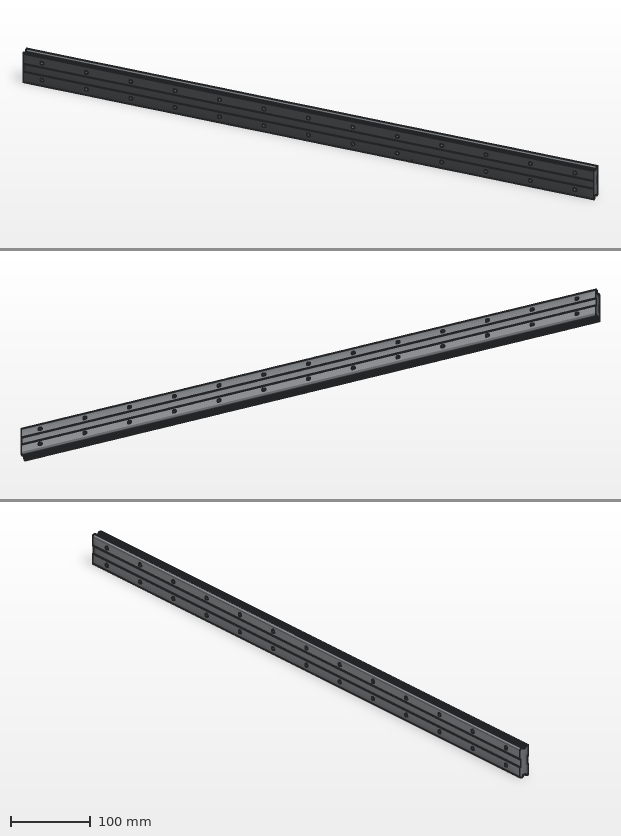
import cadquery as cq
import math

length = 770.0
depth = 15.0
height = 42.0

lip_thickness = 5.0
lip_front_bevel_depth = 0.35
lip_front_bevel_height = 0.6
lip_rear_chamfer = 1.15
bead_thickness = 5.8
bead_radius = 2.0

channel_half_width = 5.7
channel_depth = 1.15

hole_diameter = 5.0
holes_per_row = 13
end_margin = 25.5
hole_pitch = (length - 2 * end_margin) / (holes_per_row - 1)
row_spacing = 25.0


def half_section(side):
    """Upper (side = 1) or lower (side = -1) half of the section, cut off at mid-height."""
    front = -depth / 2
    rear = depth / 2
    top = height / 2
    shoulder = top - bead_radius
    lip_rear = front + lip_thickness
    bead_front = rear - bead_thickness
    corner_inset = bead_radius * (1 - math.sqrt(0.5))

    def at(y, z):
        return (y, side * z)

    return (
        cq.Workplane("YZ", origin=(-length / 2, 0, 0))
        .moveTo(*at(front + channel_depth, 0))
        .lineTo(*at(front + channel_depth, channel_half_width))
        .lineTo(*at(front, channel_half_width))
        .lineTo(*at(front, top - lip_front_bevel_height))
        .lineTo(*at(front + lip_front_bevel_depth, top))
        .lineTo(*at(lip_rear - lip_rear_chamfer, top))
        .lineTo(*at(lip_rear, top - lip_rear_chamfer))
        .lineTo(*at(lip_rear, shoulder))
        .lineTo(*at(bead_front, shoulder))
        .threePointArc(at(bead_front + corner_inset, top - corner_inset), at(bead_front + bead_radius, top))
        .lineTo(*at(rear - bead_radius, top))
        .threePointArc(at(rear - corner_inset, top - corner_inset), at(rear, shoulder))
        .lineTo(*at(rear, channel_half_width))
        .lineTo(*at(rear - channel_depth, channel_half_width))
        .lineTo(*at(rear - channel_depth, 0))
        .close()
    )


def rail_body():
    """Both halves of the section run the full length and join into one bar."""
    upper = half_section(1).extrude(length)
    lower = half_section(-1).extrude(length)
    return upper.union(lower).clean()


def mounting_holes():
    """Cylinders along Y, evenly spaced in two rows."""
    return (
        cq.Workplane("XZ")
        .rarray(hole_pitch, row_spacing, holes_per_row, 2)
        .circle(hole_diameter / 2)
        .extrude(depth, both=True)
    )


result = rail_body().cut(mounting_holes())